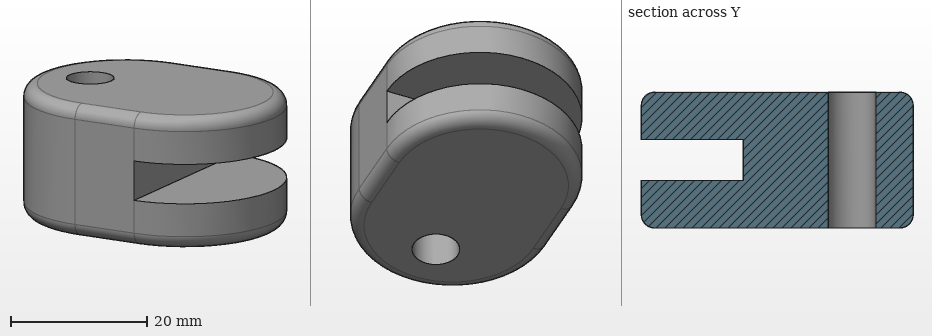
import cadquery as cq

length = 40.0
width = 30.0
height = 20.0
edge_radius = 2.0

hole_diameter = 7.0
hole_x = -11.0

slot_height = 6.0
slot_start_x = (length - width) / 2
slot_depth = length / 2 - slot_start_x


def make_body():
    """Stadium block standing on Z = 0, with rounded top and bottom rims."""
    block = cq.Workplane("XY").slot2D(length, width).extrude(height)
    return block.faces("|Z").edges().fillet(edge_radius)


def make_hole():
    """Cylinder for the vertical through hole."""
    return cq.Workplane("XY").center(hole_x, 0).circle(hole_diameter / 2).extrude(height)


def make_slot():
    """Box for the slot, centred at mid-height and spanning the full width."""
    return (
        cq.Workplane("XY")
        .box(slot_depth, width, slot_height, centered=(False, True, True))
        .translate((slot_start_x, 0, height / 2))
    )


result = make_body().cut(make_hole()).cut(make_slot())